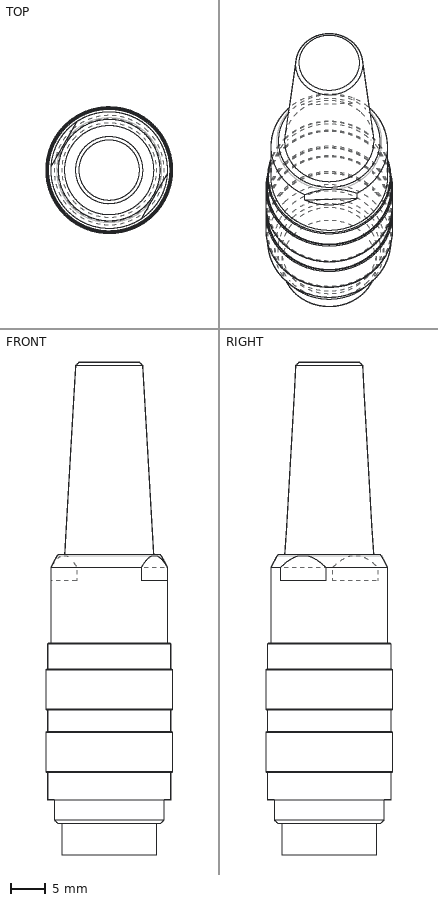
import cadquery as cq

plug_top_z = 4.6
shoulder_top_z = 8.05
lower_collar_z = 12.0
collar_pitch = 9.1
collar_count = 2
collar_height = 6.0
sleeve_top_z = 30.9
housing_top_z = 43.8
overall_height = 71.8

plug_radius = 6.9
shoulder_radius = 8.0
sleeve_radius = 9.0
collar_radius = 9.25
barrel_radius = 8.5
neck_radius = 7.65

shoulder_chamfer = 0.5
collar_chamfer = 0.15
sleeve_chamfer = 0.15
neck_taper_height = 1.9
neck_chamfer = 0.25

flat_distance = 7.6
flat_bottom_z = 40.0
flat_direction = 150

relief_base_radius = 6.5
relief_tip_radius = 4.9
tip_chamfer = 0.5


def ring(radius, bottom_z, top_z):
    """Solid disc about the Z axis between two heights."""
    return cq.Workplane("XY").workplane(offset=bottom_z).circle(radius).extrude(top_z - bottom_z)


def turned(outline):
    """Solid of revolution about Z from (radius, height) points that start and end on the axis."""
    return cq.Workplane("XZ").polyline(outline).close().revolve(360, (0, 0), (0, 1))


def collar(bottom_z):
    """Raised collar with both edges broken."""
    return ring(collar_radius, bottom_z, bottom_z + collar_height).edges().chamfer(collar_chamfer)


def barrel():
    """Back of the housing, tapering to a neck with a broken top edge."""
    return turned(
        [
            (0, sleeve_top_z),
            (barrel_radius, sleeve_top_z),
            (barrel_radius, housing_top_z - neck_taper_height),
            (neck_radius, housing_top_z - neck_chamfer),
            (neck_radius - neck_chamfer, housing_top_z),
            (0, housing_top_z),
        ]
    )


def wrench_flat(direction):
    """Material outside one wrench flat, to be cut away."""
    depth = barrel_radius - flat_distance
    height = housing_top_z - flat_bottom_z
    block = cq.Workplane("XY").box(depth, 2 * barrel_radius, height, centered=(False, True, False))
    return block.translate((flat_distance, 0, flat_bottom_z)).rotate((0, 0, 0), (0, 0, 1), direction)


def build_housing():
    """Stepped plug, collared sleeve and barrel turned as one piece."""
    plug = ring(plug_radius, 0, plug_top_z)
    shoulder = ring(shoulder_radius, plug_top_z, shoulder_top_z).edges("<Z").chamfer(shoulder_chamfer)
    sleeve = ring(sleeve_radius, shoulder_top_z, sleeve_top_z).edges(">Z").chamfer(sleeve_chamfer)
    body = plug.union(shoulder).union(sleeve).union(barrel())
    for index in range(collar_count):
        body = body.union(collar(lower_collar_z + index * collar_pitch))
    for direction in (flat_direction, flat_direction + 180):
        body = body.cut(wrench_flat(direction))
    return body


def build_bend_relief():
    """Tapered bend relief standing on the top face of the housing."""
    return turned(
        [
            (0, housing_top_z),
            (relief_base_radius, housing_top_z),
            (relief_tip_radius, overall_height - tip_chamfer),
            (relief_tip_radius - tip_chamfer, overall_height),
            (0, overall_height),
        ]
    )


housing = build_housing()
bend_relief = build_bend_relief()

result = cq.Compound.makeCompound([housing.val(), bend_relief.val()])